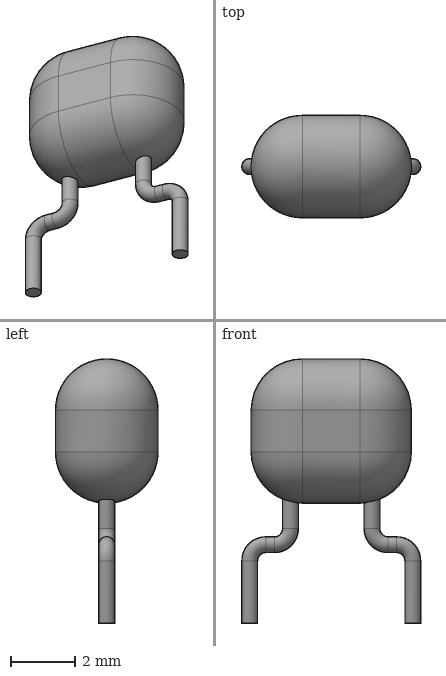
import cadquery as cq

body_width = 5.0
body_thickness = 3.2
body_height = 4.5
round_radius = body_thickness / 2
core_width = body_width - body_thickness
core_height = body_height - body_thickness

wire_diameter = 0.5
foot_pitch = 5.08
root_pitch = 2.54
bend_radius = 0.5
foot_length = 1.95
standoff = 3.74

body_center_z = standoff + body_height / 2


def make_end_capsule(x):
    """Upright capsule that rounds one end of the body."""
    half_core = core_height / 2
    return (
        cq.Workplane("XZ", origin=(x, 0, body_center_z))
        .moveTo(0, -half_core - round_radius)
        .radiusArc((round_radius, -half_core), -round_radius)
        .lineTo(round_radius, half_core)
        .radiusArc((0, half_core + round_radius), -round_radius)
        .close()
        .revolve(360, (0, 0), (0, 1))
    )


def make_body():
    """Middle stretch with rounded top and bottom, closed by a capsule at each end."""
    coating = (
        cq.Workplane("YZ", origin=(-core_width / 2, 0, body_center_z))
        .slot2D(body_height, body_thickness, 90)
        .extrude(core_width)
    )
    for side in (-1, 1):
        coating = coating.union(make_end_capsule(side * core_width / 2))
    return coating.solids()


def make_lead(side, body):
    """Round wire from its tip, through two bends, up to the body surface."""
    foot_x = side * foot_pitch / 2
    root_x = side * root_pitch / 2
    jog_z = foot_length + bend_radius
    root_z = jog_z + bend_radius
    path = (
        cq.Workplane("XZ")
        .moveTo(foot_x, 0)
        .lineTo(foot_x, foot_length)
        .radiusArc((foot_x - side * bend_radius, jog_z), -side * bend_radius)
        .lineTo(root_x + side * bend_radius, jog_z)
        .radiusArc((root_x, root_z), side * bend_radius)
        .lineTo(root_x, standoff + round_radius)
    )
    wire = cq.Workplane("XY", origin=(foot_x, 0, 0)).circle(wire_diameter / 2).sweep(path)
    return wire.cut(body).solids()


body = make_body()
leads = [make_lead(side, body) for side in (-1, 1)]

result = cq.Compound.makeCompound([body.val(), *(lead.val() for lead in leads)])